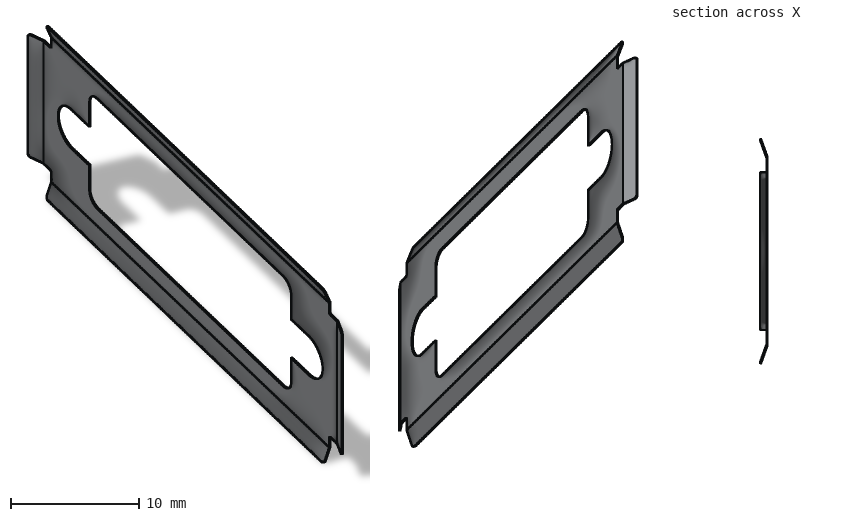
import cadquery as cq
import math

length = 44.3
height = 17.5
depth = 0.6

thickness = 0.1
bend_angle = math.radians(19.8)
body_length = 39.15
tab_height = 12.3
lip_corner_radius = 0.3
notch_radius = 0.18

window_length = 28.45
window_height = 11.08
window_radius = 1.15
slot_length = 37.3
slot_height = 3.9

lip_drop = depth - thickness
lip_run = lip_drop / math.tan(bend_angle)
tip_setback = thickness * math.sin(bend_angle)
tip_rise = thickness * math.cos(bend_angle)
bend_offset = thickness * math.tan(bend_angle / 2)


def bent_strip(span, width):
    """Strip across X with both ends bent to -Y, extruded along Z and centred."""
    tip = span / 2
    front_tip = tip - tip_setback
    front_bend = front_tip - lip_run
    back_bend = front_bend + bend_offset
    right_half = [
        (back_bend, 0),
        (tip, tip_rise - depth),
        (front_tip, -depth),
        (front_bend, -thickness),
    ]
    left_half = [(-x, y) for x, y in reversed(right_half)]
    strip = cq.Workplane("XY").polyline(right_half + left_half).close().extrude(width / 2, both=True)

    corner_x = (tip + front_tip) / 2
    corner_y = tip_rise / 2 - depth
    for side_x in (-1, 1):
        for side_z in (-1, 1):
            corner = (side_x * corner_x, corner_y, side_z * width / 2)
            strip = strip.edges(cq.selectors.NearestToPointSelector(corner)).fillet(lip_corner_radius)
    return strip


def opening():
    """Rounded rectangular window crossed by a round-ended slot."""
    window = (
        cq.Workplane("XZ")
        .rect(window_length, window_height)
        .extrude(depth, both=True)
        .edges("|Y")
        .fillet(window_radius)
    )
    slot = cq.Workplane("XZ").slot2D(slot_length, slot_height).extrude(depth, both=True)
    return window.union(slot)


end_tabs = bent_strip(length, tab_height)
long_lips = bent_strip(height, body_length).rotate((0, 0, 0), (0, 1, 0), 90)
plate = end_tabs.union(long_lips)

for x in (-body_length / 2, body_length / 2):
    for z in (-tab_height / 2, tab_height / 2):
        notch = (x, -thickness / 2, z)
        plate = plate.edges(cq.selectors.NearestToPointSelector(notch)).fillet(notch_radius)

result = plate.cut(opening())